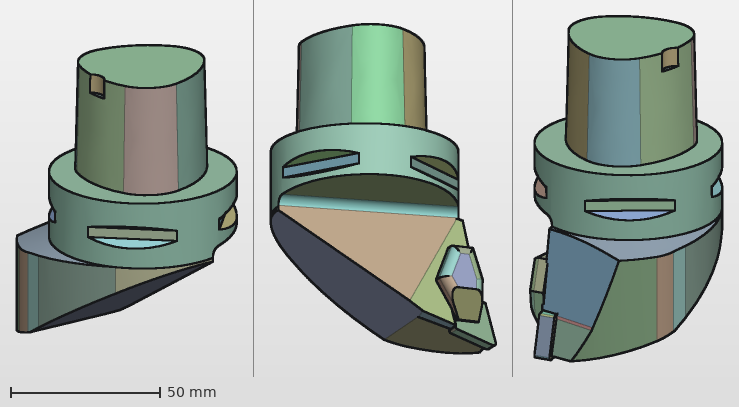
import cadquery as cq
import math


shank_height = 37.9
shank_taper = math.degrees(math.atan(1 / 40))
lobe_reach = 23.4
flat_reach = 20.5
lobe_center = 8.5
notch_radius = 5.2
notch_center_y = -22.9
notch_depth = 6.5

flange_radius = 31.5
flange_height = 23.2
slot_center_z = -12.3
slot_depth = 3.8
slot_mouth = 7.7
slot_floor = 3.6
slot_count = 4

wall_y = 5.8
relief_z = -20.0
relief_slope = 4.8
relief_radius = 3.1

head_bottom = -72.1
plan_left = (-45.9, -6.2)
plan_side_arc = [(-36.8, -23.9), (-22.5, -34.9)]
plan_nose_arc = [(-19.5, -35.9), (-16.1, -36.4)]
plan_nose_end = (-10.1, -36.4)
plan_back_arc = [(4.9, -33.4), (18.2, -25.6)]
cone_drop = 0.27
left_face = [(-32.4, -23.2), (-39.0, -50.4), (-39.2, -51.4), (-43.1, -63.5)]
bottom_break = (-19.0, -56.1)
bottom_right = (33.0, -23.3)
bottom_clearance = 2.0

rake_rise_x = 0.13
rake_rise_z = 0.07
insert_tip = (-45.5, 0.2, -65.5)
insert_edge = 15.5
insert_low_angle = 18.0
insert_corner_angle = 55.0
insert_thickness = 6.3
insert_nose = 0.8
insert_recess = 0.6

clamp_outline = [(7.3, 21.4), (11.1, 32.1), (18.5, 32.1), (22.7, 20.6), (14.4, 7.7), (7.2, 7.7)]
clamp_height = 7.0
clamp_round = 3.1
clamp_ramp = [(6.7, 0.6), (17.3, 7.0)]

reach = 103.0


def polar(radius, degrees):
    angle = math.radians(degrees)
    return radius * math.cos(angle), radius * math.sin(angle)


def face_plane(offset):
    """Plane parallel to the rake face, raised from the insert tip, pointing into the head."""
    inward = cq.Vector(rake_rise_x, -1, rake_rise_z).normalized()
    origin = cq.Vector(*insert_tip) - inward * offset
    return cq.Plane(origin=origin, xDir=(1, rake_rise_x, 0), normal=inward)


def make_shank():
    gap = lobe_reach - flat_reach
    flat_center = (2 * gap * lobe_center - gap**2) / (lobe_center - 2 * gap)
    lobe_radius = lobe_reach - lobe_center
    normal_angle = math.degrees(math.atan2(
        flat_center * math.sin(math.radians(60)),
        lobe_center + flat_center * math.cos(math.radians(60)),
    ))
    along, across = polar(lobe_radius, normal_angle)
    joint_radius = math.hypot(lobe_center + along, across)
    joint_angle = math.degrees(math.atan2(across, lobe_center + along))

    outline = cq.Workplane("XY").moveTo(*polar(joint_radius, 90 - joint_angle))
    for lobe in (90, 210, 330):
        outline = outline.threePointArc(
            polar(lobe_reach, lobe), polar(joint_radius, lobe + joint_angle)
        )
        outline = outline.threePointArc(
            polar(flat_reach, lobe + 60), polar(joint_radius, lobe + 120 - joint_angle)
        )
    shank = outline.close().extrude(shank_height, taper=shank_taper)
    notch = (
        cq.Workplane("XY", origin=(0, notch_center_y, shank_height - notch_depth))
        .circle(notch_radius)
        .extrude(notch_depth)
    )
    return shank.cut(notch)


def make_flange():
    flange = cq.Workplane("XY").circle(flange_radius).extrude(-flange_height)
    floor = flange_radius - slot_depth
    slot = (
        cq.Workplane("XZ", origin=(0, 0, slot_center_z))
        .polyline([
            (floor, -slot_floor / 2),
            (flange_radius, -slot_mouth / 2),
            (flange_radius, slot_mouth / 2),
            (floor, slot_floor / 2),
        ])
        .close()
        .extrude(flange_radius, both=True)
    )
    for index in range(slot_count):
        flange = flange.cut(slot.rotate((0, 0, 0), (0, 0, 1), 45 + index * 360 / slot_count))
    return flange


def make_head():
    back_corner = polar(flange_radius, 45)
    plan = (
        cq.Workplane("XY", origin=(0, 0, head_bottom))
        .moveTo(*plan_left)
        .threePointArc(*plan_side_arc)
        .threePointArc(*plan_nose_arc)
        .lineTo(*plan_nose_end)
        .threePointArc(*plan_back_arc)
        .threePointArc((flange_radius, 0), back_corner)
        .lineTo(plan_left[0], back_corner[1])
        .close()
        .extrude(-head_bottom)
    )
    outer = 3 * flange_radius
    shoulder = (
        cq.Workplane("XZ")
        .polyline([
            (0, -flange_height),
            (flange_radius, -flange_height),
            (outer, -flange_height - cone_drop * (outer - flange_radius)),
            (outer, head_bottom),
            (0, head_bottom),
        ])
        .close()
        .revolve(360, (0, 0, 0), (0, 1, 0))
    )
    side = (
        cq.Workplane("XZ")
        .polyline([*left_face, bottom_break, bottom_right, (bottom_right[0], 0), (left_face[0][0], 0)])
        .close()
        .extrude(reach, both=True)
    )
    low_corner = left_face[-1]
    far_corner = (
        2 * bottom_break[0] - low_corner[0],
        2 * bottom_break[1] - low_corner[1],
    )
    tilt = math.radians(bottom_clearance)
    clearance = (
        cq.Workplane(cq.Plane(
            origin=(0, 0, 0),
            xDir=(1, 0, 0),
            normal=(0, -math.cos(tilt), math.sin(tilt)),
        ))
        .polyline([low_corner, far_corner, (far_corner[0], head_bottom), (low_corner[0], head_bottom)])
        .close()
        .extrude(reach)
    )
    return plan.intersect(shoulder).intersect(side).cut(clearance)


def make_relief():
    rise = reach * math.tan(math.radians(relief_slope))
    return (
        cq.Workplane("YZ", origin=(-reach, 0, 0))
        .polyline([
            (wall_y, head_bottom),
            (wall_y, relief_z),
            (wall_y + reach, relief_z + rise),
            (wall_y + reach, head_bottom),
        ])
        .close()
        .extrude(2 * reach)
        .edges(cq.selectors.NearestToPointSelector((0, wall_y, relief_z)))
        .fillet(relief_radius)
    )


def make_rake_cut():
    """Open space in front of the tilted rake face."""
    return cq.Workplane(face_plane(insert_recess)).rect(2 * reach, 2 * reach).extrude(-reach)


def insert_corners():
    low = polar(insert_edge, insert_low_angle)
    side = polar(insert_edge, insert_low_angle + insert_corner_angle)
    far = (low[0] + side[0], low[1] + side[1])
    return [(0, 0), low, far, side, (0, 0)]


def make_insert():
    rhombus = cq.Sketch().polygon(insert_corners()).vertices().fillet(insert_nose)
    return cq.Workplane(face_plane(0)).placeSketch(rhombus).extrude(insert_thickness)


def make_insert_opening():
    """Open space over the insert face, up to the rake face."""
    return cq.Workplane(face_plane(0)).polyline(insert_corners()).close().extrude(-insert_recess)


def make_clamp():
    block = cq.Workplane(face_plane(0)).polyline(clamp_outline).close().extrude(-clamp_height)
    block = block.faces(">Y").edges().fillet(clamp_round)
    (ramp_start, ramp_low), (ramp_end, ramp_high) = clamp_ramp
    face = face_plane(0)
    ramp_plane = cq.Plane(origin=face.origin, xDir=face.zDir, normal=-face.xDir)
    ramp = (
        cq.Workplane(ramp_plane)
        .polyline([(-ramp_low, ramp_start), (-ramp_high, ramp_end), (-ramp_high, 0), (-ramp_low, 0)])
        .close()
        .extrude(-reach)
    )
    return block.cut(ramp)


insert = make_insert()
head = make_head().cut(make_rake_cut()).cut(insert).cut(make_insert_opening())
holder = make_shank().union(make_flange()).union(head).cut(make_relief()).union(make_clamp())
result = cq.Compound.makeCompound([holder.val(), insert.val()])